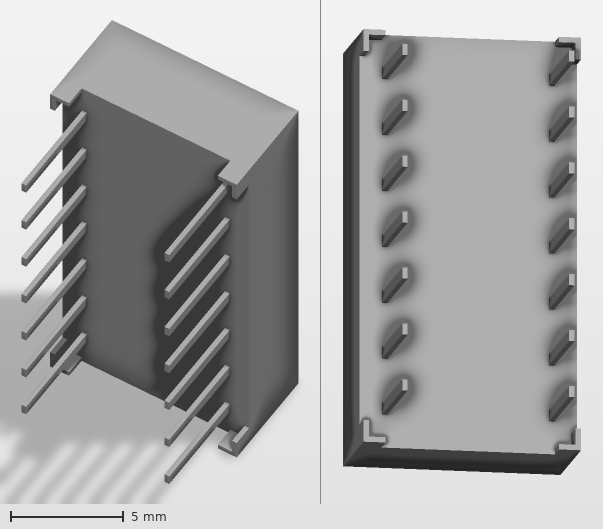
import cadquery as cq

width = 9.8
height = 18.75
total_depth = 9.08

body_depth = 4.07
foot_height = 1.03
foot_leg = 1.0
foot_thickness = 0.25

pin_rows_outer_width = 7.76
pin_thickness = 0.25
pin_height = 0.5
pin_row_span = 15.25
pins_per_row = 7
pin_pitch = pin_row_span / (pins_per_row - 1)

back_y = total_depth / 2
pin_face_y = back_y - body_depth
pin_length = total_depth - body_depth


def box_toward_front(size_x, length, size_z, x, z):
    """Box centred on x and z, projecting from the pin face toward -Y."""
    centre_y = pin_face_y - length / 2
    return cq.Workplane("XY").box(size_x, length, size_z).translate((x, centre_y, z))


def corner_foot(side_x, side_z):
    """L-shaped foot flush with the outer faces of one body corner."""
    flat_leg = box_toward_front(
        foot_leg,
        foot_height,
        foot_thickness,
        side_x * (width - foot_leg) / 2,
        side_z * (height - foot_thickness) / 2,
    )
    upright_leg = box_toward_front(
        foot_thickness,
        foot_height,
        foot_leg,
        side_x * (width - foot_thickness) / 2,
        side_z * (height - foot_leg) / 2,
    )
    return flat_leg.union(upright_leg)


def pin(side_x, index):
    """One pin of a row, counted from the bottom."""
    x = side_x * (pin_rows_outer_width - pin_thickness) / 2
    z = index * pin_pitch - pin_row_span / 2
    return box_toward_front(pin_thickness, pin_length, pin_height, x, z)


body_centre_y = back_y - body_depth / 2
result = cq.Workplane("XY").box(width, body_depth, height).translate((0, body_centre_y, 0))

for side_x in (-1, 1):
    for side_z in (-1, 1):
        result = result.union(corner_foot(side_x, side_z))
    for index in range(pins_per_row):
        result = result.union(pin(side_x, index))